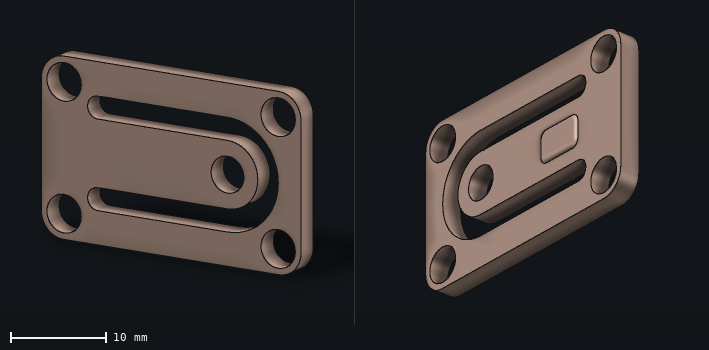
import cadquery as cq
import math

length = 32.0
height = 20.0
overall_depth = 2.8
bump_rise = 0.32
thickness = overall_depth - bump_rise
corner_radius = 2.75

mount_diameter = 4.2
mount_inset = 2.8

slot_width = 2.5
tongue_radius = 3.75
tongue_center_x = 6.95
slot_left_x = -10.27
tongue_hole_diameter = 4.0

bump_length = 6.0
bump_width = 3.95
bump_center_x = -5.95
bump_edge_radius = 1.0
bump_corner_radius = 1.15

front_y = -overall_depth / 2


def front_plane():
    """Sketch plane on the front face; local x is X, local y is Z."""
    return cq.Workplane("XZ", origin=(0, front_y, 0))


def make_plate():
    plate = front_plane().rect(length, height).extrude(-thickness)
    return plate.edges("|Y").fillet(corner_radius)


def make_holes():
    corners = front_plane().rect(
        length - 2 * mount_inset, height - 2 * mount_inset, forConstruction=True
    )
    mounts = corners.vertices().circle(mount_diameter / 2).extrude(-thickness)
    tongue_hole = front_plane().center(tongue_center_x, 0).circle(tongue_hole_diameter / 2)
    return mounts.union(tongue_hole.extrude(-thickness))


def make_slot():
    outer_radius = tongue_radius + slot_width
    middle_radius = tongue_radius + slot_width / 2
    end_x = slot_left_x + slot_width / 2
    outline = (
        front_plane()
        .moveTo(end_x, outer_radius)
        .lineTo(tongue_center_x, outer_radius)
        .threePointArc((tongue_center_x + outer_radius, 0), (tongue_center_x, -outer_radius))
        .lineTo(end_x, -outer_radius)
        .threePointArc((slot_left_x, -middle_radius), (end_x, -tongue_radius))
        .lineTo(tongue_center_x, -tongue_radius)
        .threePointArc((tongue_center_x + tongue_radius, 0), (tongue_center_x, tongue_radius))
        .lineTo(end_x, tongue_radius)
        .threePointArc((slot_left_x, middle_radius), (end_x, outer_radius))
        .close()
    )
    return outline.extrude(-thickness)


def make_bump():
    """Crown of a rounded block, most of whose depth would lie inside the plate."""
    edge_run = math.sqrt(bump_edge_radius**2 - (bump_edge_radius - bump_rise) ** 2)
    hidden_margin = bump_edge_radius - edge_run
    block_length = bump_length + 2 * hidden_margin
    block_width = bump_width + 2 * hidden_margin
    block_bottom = cq.Workplane("XZ", origin=(bump_center_x, front_y + thickness / 2, 0))
    block = block_bottom.rect(block_length, block_width).extrude(-(thickness / 2 + bump_rise))
    block = block.edges("|Y").fillet(bump_corner_radius)
    return block.faces(">Y").edges().fillet(bump_edge_radius)


result = make_plate().cut(make_holes()).cut(make_slot()).union(make_bump())